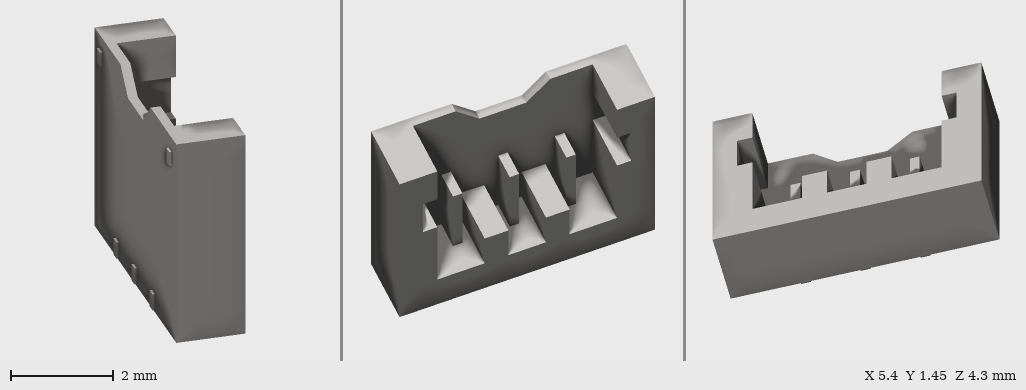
import cadquery as cq

width = 5.4
total_depth = 1.45
height = 4.3
pad_rise = 0.05
depth = total_depth - pad_rise

plate_thickness = 0.2
arm_width = 0.8
bottom_wall = 0.8
cavity_width = width - 2 * arm_width
cavity_depth = depth - plate_thickness

arm_tip_height = 0.9
recess_depth = 0.3
recess_height = 0.9

notch_top_width = 2.0
notch_depth = 0.5
notch_bottom_width = notch_top_width - 2 * notch_depth

rib_width = 0.5
rib_height = 0.8
rib_offset = 0.65

contact_pitch = 1.2
contact_width = 0.2
contact_depth = 0.57
contact_height = 1.6
contact_pad_height = 0.35
contact_pad_base = 0.05
corner_pad_offset = 2.3
corner_pad_height = 0.3
corner_pad_top_gap = 0.3


def block(x_size, y_size, z_size, x_center, y_start, z_start):
    """Box centred on x_center, growing along +Y and +Z from its start planes."""
    box = cq.Workplane("XY").box(x_size, y_size, z_size, centered=(True, False, False))
    return box.translate((x_center, y_start, z_start))


def make_housing():
    """Body with its cavity, the side recesses and the top notch; front face at Y = 0."""
    body = block(width, depth, height, 0, 0, 0)
    cavity = block(cavity_width, cavity_depth, height - bottom_wall, 0, plate_thickness, bottom_wall)
    recess = block(
        cavity_width + 2 * recess_depth, cavity_depth, recess_height,
        0, plate_thickness, height - arm_tip_height - recess_height,
    )
    notch = (
        cq.Workplane("XZ")
        .polyline([
            (-notch_top_width / 2, height),
            (-notch_bottom_width / 2, height - notch_depth),
            (notch_bottom_width / 2, height - notch_depth),
            (notch_top_width / 2, height),
        ])
        .close()
        .extrude(-plate_thickness)
    )
    return body.cut(cavity).cut(recess).cut(notch)


def make_pad(x_center, z_start, pad_height):
    """Thin solder pad on the front face."""
    return block(contact_width, pad_rise, pad_height, x_center, -pad_rise, z_start)


result = make_housing()

for side in (-1, 1):
    rib = block(rib_width, cavity_depth, rib_height, side * rib_offset, plate_thickness, bottom_wall)
    corner_pad_base = height - corner_pad_top_gap - corner_pad_height
    corner_pad = make_pad(side * corner_pad_offset, corner_pad_base, corner_pad_height)
    result = result.union(rib).union(corner_pad)

for position in (-1, 0, 1):
    contact_x = position * contact_pitch
    contact = block(contact_width, contact_depth, contact_height, contact_x, plate_thickness, bottom_wall)
    contact_pad = make_pad(contact_x, contact_pad_base, contact_pad_height)
    result = result.union(contact).union(contact_pad)